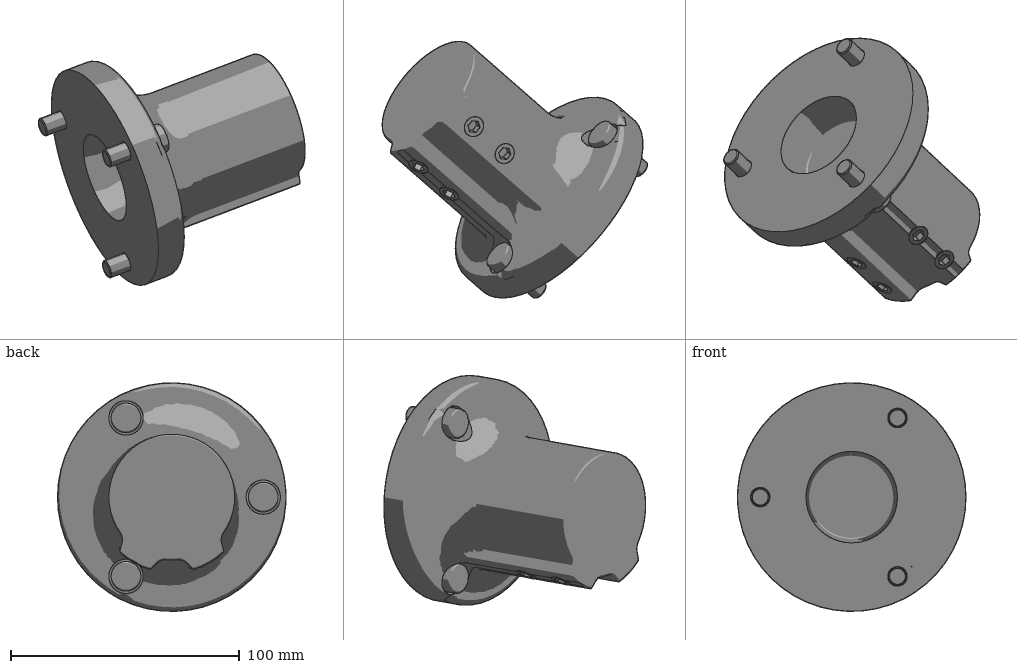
import cadquery as cq
import math

flange_radius = 50.0
flange_thickness = 14.0
flange_edge_round = 3.0
hub_radius = 27.5
hub_length = 85.0
hub_edge_round = 1.0
flare_radius = 20.0

mouth_radius = 20.0
mouth_floor_radius = 18.5
mouth_depth = 17.9
mouth_floor_round = 1.0

screw_circle_radius = 40.0
screw_angles = (60, 180, 300)
screw_hole_diameter = 8.5
screw_recess_diameter = 15.0
screw_seat_y = 10.1
screw_diameter = 8.0
screw_length = 20.0
screw_tip_chamfer = 0.5
head_diameter = 13.0
head_height = 8.0
head_edge_round = 1.0

pad_angles = (-30, 30)
pad_radius = 33.0
pad_half_width = 7.8
pad_draft = 15.0
pad_root_round = 5.0
pad_edge_round = 0.8

set_screw_positions = (53.0, 73.0)
set_screw_diameter = 9.0
set_screw_inner_radius = 18.5
set_screw_outer_radius = pad_radius
socket_across_flats = 5.0
socket_depth = 4.0
socket_turn = 30.0

touch_tolerance = 0.001


def turned(profile):
    """Revolve an open (radius, Y) outline, closed along the Y axis, about that axis."""
    return profile.close().revolve(360, (0, 0, 0), (0, 1, 0))


def y_cylinder(diameter, start_y, end_y):
    return cq.Workplane("XZ", origin=(0, start_y, 0)).circle(diameter / 2).extrude(start_y - end_y)


def downward_cylinder(diameter, y, inner, outer):
    """Cylinder straight below the hub axis, between two distances from it."""
    return cq.Workplane("XY", origin=(0, y, -outer)).circle(diameter / 2).extrude(outer - inner)


def at_pad(shape, angle):
    """Turn a shape built straight below the hub axis to the direction of a pad."""
    return shape.rotate((0, 0, 0), (0, 1, 0), angle)


def at_screw(shape, angle):
    """Move a shape built on the hub axis to a place on the flange screw circle."""
    x = screw_circle_radius * math.cos(math.radians(angle))
    z = screw_circle_radius * math.sin(math.radians(angle))
    return shape.translate((x, 0, z))


def on_circle(centre, radius, angle):
    return (centre[0] + radius * math.cos(angle), centre[1] + radius * math.sin(angle))


def touches(shape, point):
    return shape.val().distance(cq.Vertex.makeVertex(*point.toTuple())) < touch_tolerance


def make_flanged_hub():
    """Flange and hub joined by a concave flare that is tangent to the rounding of the flange edge."""
    flare_centre = (hub_radius + flare_radius, flange_thickness + flare_radius)
    round_x = flange_radius - flange_edge_round
    offset_x = round_x - flare_centre[0]
    offset_y = -math.sqrt((flare_radius + flange_edge_round) ** 2 - offset_x**2)
    round_centre = (round_x, flare_centre[1] + offset_y)

    flare_end = math.atan2(offset_y, offset_x)
    round_start = flare_end + math.pi
    profile = (
        cq.Workplane("XY")
        .lineTo(flange_radius, 0)
        .lineTo(flange_radius, round_centre[1])
        .threePointArc(
            on_circle(round_centre, flange_edge_round, round_start / 2),
            on_circle(round_centre, flange_edge_round, round_start),
        )
        .threePointArc(
            on_circle(flare_centre, flare_radius, (flare_end - math.pi) / 2),
            (hub_radius, flare_centre[1]),
        )
        .lineTo(hub_radius, hub_length)
        .lineTo(0, hub_length)
    )
    return turned(profile)


def make_pad():
    """Pad with drafted sides and a cylindrical outer face, pointing straight down."""
    tip = math.sqrt(pad_radius**2 - pad_half_width**2)
    root_half_width = pad_half_width + tip * math.tan(math.radians(pad_draft))
    return (
        cq.Workplane("XZ", origin=(0, flange_thickness, 0))
        .moveTo(-root_half_width, 0)
        .lineTo(-pad_half_width, -tip)
        .threePointArc((0, -pad_radius), (pad_half_width, -tip))
        .lineTo(root_half_width, 0)
        .close()
        .extrude(flange_thickness - hub_length)
    )


def add_pads(hub):
    """Join the pads to the hub, round their roots and outer edges, then the whole back edge."""
    pads = [at_pad(make_pad(), angle) for angle in pad_angles]
    body = hub
    for pad in pads:
        body = body.union(pad)

    rounding = cq.occ_impl.shapes.BRepFilletAPI_MakeFillet(body.solids().val().wrapped)
    for edge in body.edges().vals():
        middle = edge.positionAt(0.5)
        axis_distance = math.hypot(middle.x, middle.z)
        on_pad = any(touches(pad, middle) for pad in pads)
        if on_pad and touches(hub, middle) and middle.y < hub_length - touch_tolerance:
            rounding.Add(pad_root_round, edge.wrapped)
        elif edge.geomType() == "LINE" and abs(axis_distance - pad_radius) < touch_tolerance:
            rounding.Add(pad_edge_round, edge.wrapped)
    body = cq.Workplane(cq.Shape.cast(rounding.Shape()))
    return body.faces(">Y").edges().fillet(hub_edge_round)


def make_housing():
    body = add_pads(make_flanged_hub())

    mouth = turned(
        cq.Workplane("XY")
        .lineTo(mouth_radius, 0)
        .lineTo(mouth_floor_radius, mouth_depth)
        .lineTo(0, mouth_depth)
    )
    body = body.cut(mouth.faces(">Y").edges().fillet(mouth_floor_round))

    screw_hole = y_cylinder(screw_hole_diameter, 0, screw_seat_y)
    screw_recess = y_cylinder(screw_recess_diameter, screw_seat_y, hub_length)
    for angle in screw_angles:
        body = body.cut(at_screw(screw_hole.union(screw_recess), angle))

    for angle in pad_angles:
        for y in set_screw_positions:
            hole = downward_cylinder(set_screw_diameter, y, set_screw_inner_radius, set_screw_outer_radius)
            body = body.cut(at_pad(hole, angle))
    return body


def make_flange_screw(angle):
    shank = y_cylinder(screw_diameter, screw_seat_y - screw_length, screw_seat_y)
    shank = shank.faces("<Y").edges().chamfer(screw_tip_chamfer)
    head = y_cylinder(head_diameter, screw_seat_y, screw_seat_y + head_height)
    head = head.faces(">Y").edges().fillet(head_edge_round)
    return at_screw(shank.union(head), angle)


def make_set_screw(angle, y):
    """Set screw flush with its pad, with a hexagon socket in the outer end."""
    screw = downward_cylinder(set_screw_diameter, y, set_screw_inner_radius, set_screw_outer_radius)
    socket = (
        cq.Workplane("XY", origin=(0, y, -set_screw_outer_radius))
        .transformed(rotate=(0, 0, socket_turn))
        .polygon(6, socket_across_flats, circumscribed=True)
        .extrude(socket_depth)
    )
    return at_pad(screw.cut(socket), angle)


housing = make_housing()
flange_screws = [make_flange_screw(angle) for angle in screw_angles]
set_screws = [make_set_screw(angle, y) for angle in pad_angles for y in set_screw_positions]

bodies = [housing, *flange_screws, *set_screws]
result = cq.Compound.makeCompound([body.solids().val() for body in bodies])